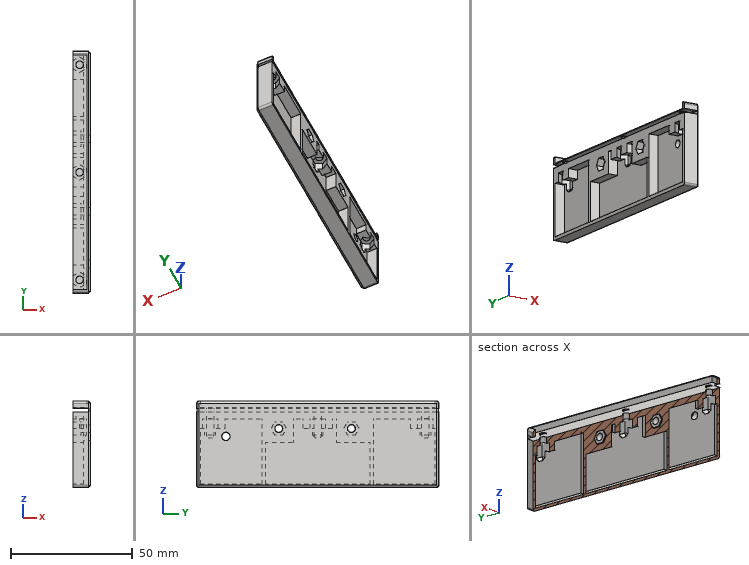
import cadquery as cq
import math

depth = 7.38
length = 99.97
height = 35.8
wall = 1.5
back_chamfer = 1.0
min_back_radius = 0.01
corner_radius = back_chamfer + min_back_radius

tray_floor_drop = 2.75
slot_top_drop = 3.05
slot_height = 1.5
slot_depth = 6.5

pocket_depth = 4.45
pocket_top = 28.3
outer_pocket_length = 25.45
middle_step_z = 18.65

screw_diameter = 3.1
screw_x = 2.78
screw_spacing = 44.4
screw_positions = (-screw_spacing, 0, screw_spacing)
screw_block_width = 12.2
screw_block_bottom = 24.4
bridge_thickness = 0.3
vertical_trap_flats = 5.6
vertical_trap_bottom = 21.8
vertical_trap_taper = 3.0
tip_share = 0.99

mount_positions = (13.9, -16.1)
mount_z = 24.4
mount_trap_flats = 5.5
mount_trap_depth = 3.3
mount_pad_half_width = 6.1

cable_hole_diameter = 3.3
cable_hole_y = -37.9
cable_hole_z = 21.15

hexagon_sides = 6
hexagon_half_angle = 180 / hexagon_sides

half_length = length / 2
inner_half_length = half_length - wall
rib_outer_y = inner_half_length - outer_pocket_length
rib_inner_y = rib_outer_y - wall
slot_bottom = height - slot_top_drop - slot_height


def box(x0, x1, y0, y1, z0, z1):
    """Box between two opposite corners."""
    return cq.Workplane("XY").box(x1 - x0, y1 - y0, z1 - z0, centered=False).translate((x0, y0, z0))


def hexagon_corner_diameter(flats):
    """Distance across the corners of a hexagon with the given distance across flats."""
    return flats / math.cos(math.radians(hexagon_half_angle))


def x_plane(y, z):
    """Sketch plane on the -X face whose normal points into the part."""
    return cq.Workplane(cq.Plane(origin=(0, y, z), xDir=(0, 1, 0), normal=(1, 0, 0)))


def make_body():
    """Block with rounded lengthwise corners and a chamfered back face."""
    body = box(0, depth, -half_length, half_length, 0, height)
    return body.edges("|X").fillet(corner_radius).faces(">X").chamfer(back_chamfer)


def make_tray():
    """Tray recess, open at the top and toward -X."""
    return box(0, depth - wall, -inner_half_length, inner_half_length, height - tray_floor_drop, height)


def make_slot():
    """Full-length slot below the tray floor."""
    return box(0, slot_depth, -half_length, half_length, slot_bottom, slot_bottom + slot_height)


def make_pocket(y0, y1, top):
    """Rectangular pocket standing on the bottom wall."""
    return box(0, pocket_depth, y0, y1, wall, top)


def make_pockets():
    """Two outer pockets and a stepped middle one, less the blocks around the vertical screws."""
    pockets = make_pocket(rib_outer_y, inner_half_length, pocket_top)
    pockets = pockets.union(make_pocket(-inner_half_length, -rib_outer_y, pocket_top))
    pockets = pockets.union(make_pocket(-rib_inner_y, rib_inner_y, middle_step_z))
    upper_y0 = min(mount_positions) + mount_pad_half_width
    upper_y1 = max(mount_positions) - mount_pad_half_width
    pockets = pockets.union(make_pocket(upper_y0, upper_y1, pocket_top))
    for y in screw_positions:
        half_width = screw_block_width / 2
        block = box(0, pocket_depth, y - half_width, y + half_width, screw_block_bottom, pocket_top)
        pockets = pockets.cut(block)
    return pockets


def make_vertical_screw(y):
    """Blind screw hole ending just above a hexagonal nut trap with a pyramid-shaped lower end."""
    hole_bottom = pocket_top + bridge_thickness
    hole = cq.Workplane("XY", origin=(screw_x, y, hole_bottom)).circle(screw_diameter / 2)
    hole = hole.extrude(height - hole_bottom)
    corner_diameter = hexagon_corner_diameter(vertical_trap_flats)
    base = cq.Workplane("XY", origin=(screw_x, y, vertical_trap_bottom))
    base = base.transformed(rotate=(0, 0, hexagon_half_angle))
    trap = base.polygon(hexagon_sides, corner_diameter).extrude(pocket_top - vertical_trap_bottom)
    taper_angle = math.degrees(math.atan(vertical_trap_flats / 2 / vertical_trap_taper))
    tip_height = vertical_trap_taper * tip_share
    tip = base.polygon(hexagon_sides, corner_diameter).extrude(-tip_height, taper=taper_angle)
    return hole.union(trap).union(tip)


def make_mount(y):
    """Through hole along X with a hexagonal nut trap on the -X face."""
    hole = x_plane(y, mount_z).circle(screw_diameter / 2).extrude(depth)
    corner_diameter = hexagon_corner_diameter(mount_trap_flats)
    trap = x_plane(y, mount_z).polygon(hexagon_sides, corner_diameter).extrude(mount_trap_depth)
    return hole.union(trap)


def make_cable_hole():
    """Plain through hole along X."""
    return x_plane(cable_hole_y, cable_hole_z).circle(cable_hole_diameter / 2).extrude(depth)


result = make_body().cut(make_tray()).cut(make_slot()).cut(make_pockets()).cut(make_cable_hole())
for screw_y in screw_positions:
    result = result.cut(make_vertical_screw(screw_y))
for mount_y in mount_positions:
    result = result.cut(make_mount(mount_y))